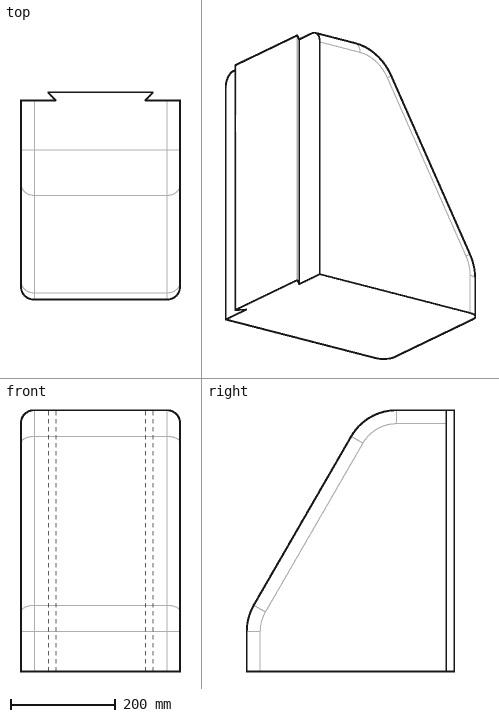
import cadquery as cq
import math

WIDTH = 304.8
DEPTH = 381.0
HEIGHT = 500.0
TOP_FLAT_DEPTH = 152.4
SLOPE_ANGLE = 60.0
BEND_RADIUS = 100.0
EDGE_RADIUS = 25.4

RAIL_DEPTH = 15.875
RAIL_ROOT_WIDTH = 171.45
RAIL_OUTER_WIDTH = 202.4
RAIL_TIP_RADIUS = 0.8

FRONT_Y = -DEPTH
SLOPE_TOP_Y = -TOP_FLAT_DEPTH
SLOPE_DROP = (DEPTH - TOP_FLAT_DEPTH) * math.tan(math.radians(SLOPE_ANGLE))
NOSE_HEIGHT = HEIGHT - SLOPE_DROP


def make_body():
    """Extrude the side profile, soften its bends, then round its side edges."""
    profile = [
        (0, 0),
        (FRONT_Y, 0),
        (FRONT_Y, NOSE_HEIGHT),
        (SLOPE_TOP_Y, HEIGHT),
        (0, HEIGHT),
    ]
    body = cq.Workplane("YZ").polyline(profile).close().extrude(WIDTH / 2, both=True)
    for bend in [(0, FRONT_Y, NOSE_HEIGHT), (0, SLOPE_TOP_Y, HEIGHT)]:
        body = body.edges(cq.selectors.NearestToPointSelector(bend)).fillet(BEND_RADIUS)

    for side in (-1, 1):
        front_corner = (side * WIDTH / 2, FRONT_Y, 0)
        body = body.edges(cq.selectors.NearestToPointSelector(front_corner)).fillet(EDGE_RADIUS)
    return body


def make_rail():
    """Full-height dovetail, narrow at the back face and wide at its outer face, with rounded tips."""
    outline = [
        (-RAIL_ROOT_WIDTH / 2, 0),
        (RAIL_ROOT_WIDTH / 2, 0),
        (RAIL_OUTER_WIDTH / 2, RAIL_DEPTH),
        (-RAIL_OUTER_WIDTH / 2, RAIL_DEPTH),
    ]
    rail = cq.Workplane("XY").polyline(outline).close().extrude(HEIGHT)
    return rail.edges("|Z and >Y").fillet(RAIL_TIP_RADIUS)


result = make_body().union(make_rail())